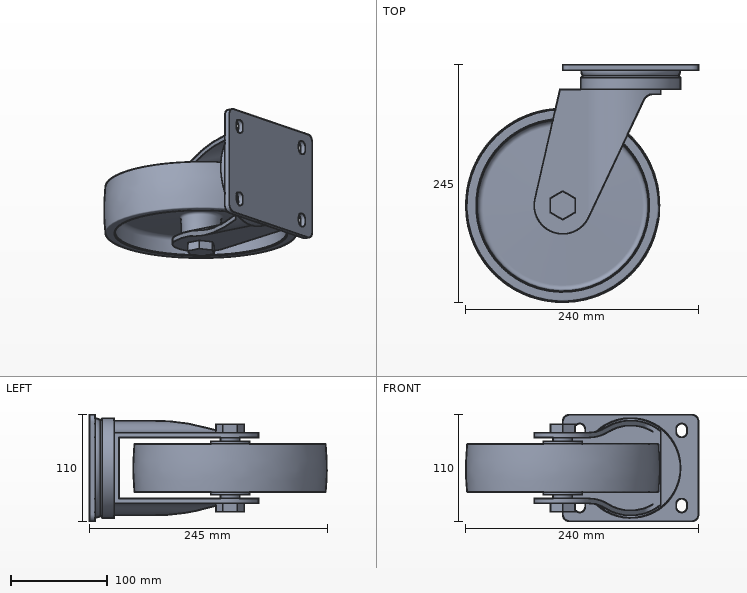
import cadquery as cq
import math


wheel_radius = 100.0
wheel_edge_radius = 98.7
wheel_half_width = 25.0
tread_edge_fillet = 1.5
rim_mouth_radius = 88.5
rim_root_radius = 87.2
rim_chamfer = 1.0
rim_fillet = 4.7
web_hub_z = 7.8
web_rim_z = 6.1
hub_radius = 20.0
hub_half_length = 27.7
hub_base_radius = 20.8
hub_base_fillet = 2.7

axle_diameter = 20.0
bolt_flats = 25.5
bolt_head_height = 8.8

plate_length = 140.0
plate_width = 110.0
plate_thickness = 6.0
plate_face_y = 145.0
plate_corner_radius = 7.0
slot_pitch_x = 105.0
slot_pitch_z = 77.5
slot_width = 11.0
slot_length = 14.0

swivel_x = plate_length / 2
swivel_radius = 103.0 / 2
race_radius = 51.2
race_bulge_radius = 6.4
groove_radius = 49.2
fork_top_y = 119.5
ring_top_y = 131.5
groove_y = 133.7
race_edge_y = 138.5

sheet = 5.1
leg_outer_z = 36.5
leg_radius = 29.5
leg_flat_end_x = 26.7
crown_radius = 49.0
fork_top_start_x = -3.0
fork_top_end_x = 101.2
trailing_corner_x = 86.5
fork_fillet = 10.0
crown_end_angle = math.radians(30)

plate_bottom_y = plate_face_y - plate_thickness
fork_inner_y = fork_top_y - sheet


def turned(profile):
    """Close a profile lying in the XZ plane and turn it about the Z axis."""
    return profile.close().revolve(360, (0, 0, 0), (0, 1, 0))


def make_wheel():
    """Crowned tread, recessed on both sides down to a coned web with a hub."""
    disc = turned(
        cq.Workplane("XZ")
        .moveTo(0, -wheel_half_width)
        .lineTo(wheel_edge_radius, -wheel_half_width)
        .threePointArc((wheel_radius, 0), (wheel_edge_radius, wheel_half_width))
        .lineTo(0, wheel_half_width)
    )
    disc = disc.edges("%CIRCLE").fillet(tread_edge_fillet)
    diagonal = math.sqrt(0.5)
    fillet_x = rim_root_radius - rim_fillet
    fillet_z = web_rim_z + rim_fillet
    base_x = hub_base_radius + hub_base_fillet
    base_z = web_hub_z + hub_base_fillet
    recess = turned(
        cq.Workplane("XZ")
        .moveTo(hub_radius, wheel_half_width)
        .lineTo(rim_mouth_radius + rim_chamfer, wheel_half_width)
        .lineTo(rim_mouth_radius, wheel_half_width - rim_chamfer)
        .lineTo(rim_root_radius, fillet_z)
        .threePointArc(
            (fillet_x + rim_fillet * diagonal, fillet_z - rim_fillet * diagonal),
            (fillet_x, web_rim_z),
        )
        .lineTo(base_x, web_hub_z)
        .threePointArc(
            (base_x - hub_base_fillet * diagonal, base_z - hub_base_fillet * diagonal),
            (hub_base_radius, base_z),
        )
    )
    hub = cq.Workplane("XY").circle(hub_radius).extrude(hub_half_length, both=True)
    return disc.cut(recess).cut(recess.mirror("XY")).union(hub)


def make_bolt():
    """Axle with a hexagon on each end, corners pointing along Y."""
    corner_diameter = bolt_flats / math.cos(math.pi / 6)
    axle = cq.Workplane("XY").circle(axle_diameter / 2).extrude(leg_outer_z, both=True)
    head = (
        cq.Workplane("XY", origin=(0, 0, leg_outer_z))
        .transformed(rotate=(0, 0, 90))
        .polygon(6, corner_diameter)
        .extrude(bolt_head_height)
    )
    return axle.union(head).union(head.mirror("XY"))


def make_plate():
    """Rounded plate with four fixing slots lengthened along Z."""
    face = cq.Workplane("XZ", origin=(swivel_x, plate_face_y, 0))
    plate = face.rect(plate_length, plate_width).extrude(plate_thickness)
    plate = plate.edges("|Y").fillet(plate_corner_radius)
    slots = (
        face.rect(slot_pitch_x, slot_pitch_z, forConstruction=True)
        .vertices()
        .slot2D(slot_length, slot_width, 90)
        .extrude(plate_thickness)
    )
    return plate.cut(slots)


def make_swivel():
    """Rounded bearing race and bevelled swivel ring, meeting in a groove."""
    return (
        cq.Workplane("XY", origin=(swivel_x, 0, 0))
        .moveTo(0, fork_top_y)
        .lineTo(swivel_radius, fork_top_y)
        .lineTo(swivel_radius, ring_top_y)
        .lineTo(groove_radius, groove_y)
        .radiusArc((race_radius, race_edge_y), -race_bulge_radius)
        .lineTo(race_radius, plate_bottom_y)
        .lineTo(0, plate_bottom_y)
        .close()
        .revolve(360, (0, 0, 0), (0, 1, 0))
    )


def fork_section(inset):
    """Prism of the fork's cross-section, its sides moved inward by inset.

    Each side runs straight, then through a reverse bend into the crown,
    an arc about the swivel axis.
    """
    side_z = leg_outer_z - inset
    start_x = -2 * leg_radius
    crown = crown_radius - inset
    run = swivel_x - leg_flat_end_x
    bend = (run**2 + side_z**2 - crown**2) / (2 * (crown - side_z))
    bend_angle = math.asin(run / (bend + crown))
    bend_mid = (
        leg_flat_end_x + bend * math.sin(bend_angle / 2),
        side_z + bend * (1 - math.cos(bend_angle / 2)),
    )
    bend_end = (
        swivel_x - crown * math.sin(bend_angle),
        crown * math.cos(bend_angle),
    )
    crown_end = (
        swivel_x + crown * math.cos(crown_end_angle),
        crown * math.sin(crown_end_angle),
    )
    return (
        cq.Workplane("XZ", origin=(0, fork_top_y, 0))
        .moveTo(start_x, 0)
        .lineTo(start_x, side_z)
        .lineTo(leg_flat_end_x, side_z)
        .threePointArc(bend_mid, bend_end)
        .threePointArc((swivel_x, crown), crown_end)
        .lineTo(crown_end[0], 0)
        .mirrorX()
        .extrude(2 * fork_top_y)
    )


def tangent_point(x, y):
    """Point where the leading edge from (x, y) touches the leg's round end."""
    angle = math.atan2(y, x) + math.acos(leg_radius / math.hypot(x, y))
    return leg_radius * math.cos(angle), leg_radius * math.sin(angle)


def make_fork():
    """Bent sheet fork, trimmed to the tapered outline of its legs."""
    left = tangent_point(fork_top_start_x, fork_top_y)
    right = (leg_flat_end_x, -math.sqrt(leg_radius**2 - leg_flat_end_x**2))
    outline = (
        cq.Workplane("XY")
        .moveTo(fork_top_start_x, fork_top_y)
        .lineTo(*left)
        .threePointArc((0, -leg_radius), right)
        .lineTo(trailing_corner_x, fork_inner_y)
        .lineTo(fork_top_end_x, fork_inner_y)
        .lineTo(fork_top_end_x, fork_top_y)
        .close()
        .extrude(plate_width, both=True)
    )
    inner_corner = cq.selectors.NearestToPointSelector((trailing_corner_x, fork_inner_y, 0))
    outline = outline.edges("|Z").edges(inner_corner).fillet(fork_fillet)
    cavity = fork_section(sheet).translate((0, -sheet, 0))
    return fork_section(0).cut(cavity).intersect(outline)


result = make_plate().union(make_swivel()).union(make_fork()).union(make_wheel()).union(make_bolt())